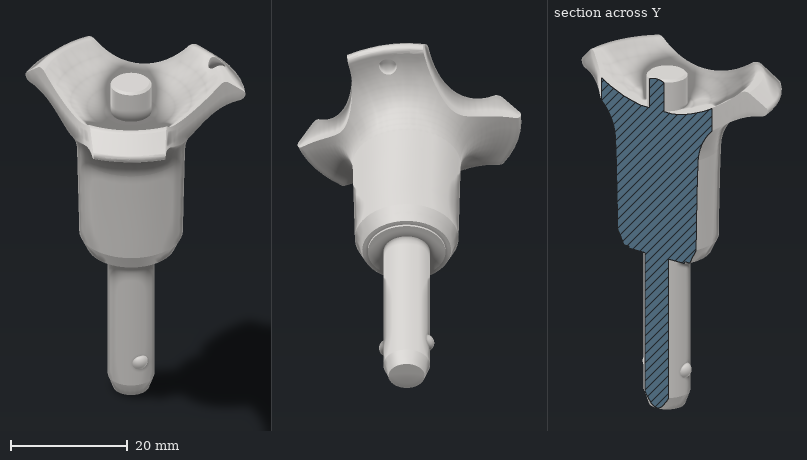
import cadquery as cq
import math


shank_radius = 4.0
shank_length = 28.3
tip_radius = 3.1
tip_length = 2.5
ball_radius = 1.5
ball_reach = 4.8
ball_height = -21.35

grip_height = 33.2
shoulder_radius = 6.65
shoulder_step = 0.35
base_radius = 7.6
base_bevel_top = 3.05
body_low_radius = 8.87
neck_radius = 9.25
neck_height = 19.85

head_radius = 19.62
upper_edge_fillet = 0.8
lower_edge_fillet = 1.0
crest_radius = 15.95
crest_fillet = 1.0
dish_radius = 22.0
button_seat_radius = 4.6
rim_slope = math.radians(43.3)

arm_half_width = 6.6
waist_radius = 11.2
side_scallop_radius = 19.3
front_scallop_radius = 48.0
lanyard_hole_radius = 1.5
lanyard_hole_offset = 16.05

button_radius = 3.5
button_chamfer = 0.4
button_top = grip_height - 0.2


def polar(center, radius, angle):
    """Point at the given angle (radians) on a circle in a 2D plane."""
    return (center[0] + radius * math.cos(angle), center[1] + radius * math.sin(angle))


def make_grip():
    """Revolved grip, with its dished top, rounded crest, sloping rim and flared underside."""
    crest_center = (crest_radius, grip_height - crest_fillet)

    center_rise = math.sqrt((dish_radius + crest_fillet) ** 2 - crest_radius**2)
    dish_center = (0, crest_center[1] + center_rise)
    crest_inner = polar(crest_center, crest_fillet, math.atan2(center_rise, -crest_radius))

    rim_normal = math.pi / 2 - rim_slope
    rim_top = polar(crest_center, crest_fillet, rim_normal)
    rim_low_r = head_radius - upper_edge_fillet * (1 - math.cos(rim_normal))
    rim_low = (rim_low_r, rim_top[1] - (rim_low_r - rim_top[0]) * math.tan(rim_slope))

    widest_z = rim_low[1] - upper_edge_fillet * math.sin(rim_normal)
    upper_center = (head_radius - upper_edge_fillet, widest_z)
    lower_center = (head_radius - lower_edge_fillet, widest_z)
    edge_side = (head_radius, widest_z)
    edge_bottom = polar(lower_center, lower_edge_fillet, -math.pi / 2)
    upper_mid = polar(upper_center, upper_edge_fillet, rim_normal / 2)
    lower_mid = polar(lower_center, lower_edge_fillet, -math.pi / 4)

    flare_run = edge_bottom[0] - neck_radius
    flare_drop = edge_bottom[1] - neck_height
    flare_radius = (flare_run**2 + flare_drop**2) / (2 * flare_drop)
    flare_center = (edge_bottom[0], edge_bottom[1] - flare_radius)
    flare_mid = polar(flare_center, flare_radius, 3 * math.pi / 4)

    def dish_point(r):
        return (r, dish_center[1] - math.sqrt(dish_radius**2 - r**2))

    seat_edge = dish_point(button_seat_radius)
    dish_mid = dish_point((button_seat_radius + crest_inner[0]) / 2)

    return (
        cq.Workplane("XZ")
        .moveTo(0, 0)
        .lineTo(shoulder_radius, 0)
        .lineTo(shoulder_radius, shoulder_step)
        .lineTo(base_radius, shoulder_step)
        .lineTo(body_low_radius, base_bevel_top)
        .lineTo(neck_radius, neck_height)
        .threePointArc(flare_mid, edge_bottom)
        .threePointArc(lower_mid, edge_side)
        .threePointArc(upper_mid, rim_low)
        .lineTo(*rim_top)
        .threePointArc((crest_radius, grip_height), crest_inner)
        .threePointArc(dish_mid, seat_edge)
        .lineTo(0, seat_edge[1])
        .close()
        .revolve(360, (0, 0, 0), (0, 1, 0))
    )


def make_side_scallop():
    """Cutter opening toward +X: an arc at the waist running out along tangent lines."""
    center_x = waist_radius + side_scallop_radius
    half_angle = math.asin((arm_half_width + side_scallop_radius) / center_x)
    tangent = polar((center_x, 0), side_scallop_radius, math.pi / 2 + half_angle)
    outer = polar(tangent, head_radius, half_angle)
    cutter = (
        cq.Workplane("XY")
        .moveTo(tangent[0], -tangent[1])
        .threePointArc((waist_radius, 0), tangent)
        .lineTo(*outer)
        .lineTo(outer[0], -outer[1])
        .close()
        .extrude(grip_height)
    )
    return cutter.rotate((0, 0, 0), (0, 0, 1), 90 - math.degrees(half_angle))


def make_front_scallop():
    """Broad cylindrical cutter on the -Y side."""
    return (
        cq.Workplane("XY")
        .center(0, -(waist_radius + front_scallop_radius))
        .circle(front_scallop_radius)
        .extrude(grip_height)
    )


def make_lanyard_hole():
    """Vertical through hole in the rear arm."""
    return (
        cq.Workplane("XY")
        .center(0, lanyard_hole_offset)
        .circle(lanyard_hole_radius)
        .extrude(grip_height)
    )


def make_button():
    """Release button standing on the floor of the dish; its lower end is inside the grip."""
    return (
        cq.Workplane("XY")
        .circle(button_radius)
        .extrude(button_top)
        .faces(">Z")
        .chamfer(button_chamfer)
    )


def make_shank():
    """Cylindrical shank with a tapered tip, rooted inside the grip."""
    return (
        cq.Workplane("XZ")
        .moveTo(0, -shank_length)
        .lineTo(tip_radius, -shank_length)
        .lineTo(shank_radius, tip_length - shank_length)
        .lineTo(shank_radius, base_bevel_top)
        .lineTo(0, base_bevel_top)
        .close()
        .revolve(360, (0, 0, 0), (0, 1, 0))
    )


def make_ball(side):
    """Locking ball half buried in the shank, on the +X (1) or -X (-1) side."""
    ball_x = side * (ball_reach - ball_radius)
    return cq.Workplane("XY").sphere(ball_radius).translate((ball_x, 0, ball_height))


side_scallop = make_side_scallop()
grip = make_grip()
for scallop in (side_scallop, side_scallop.mirror("YZ"), make_front_scallop()):
    grip = grip.cut(scallop)
grip = grip.cut(make_lanyard_hole())

result = grip.union(make_button()).union(make_shank())
for side in (-1, 1):
    result = result.union(make_ball(side))